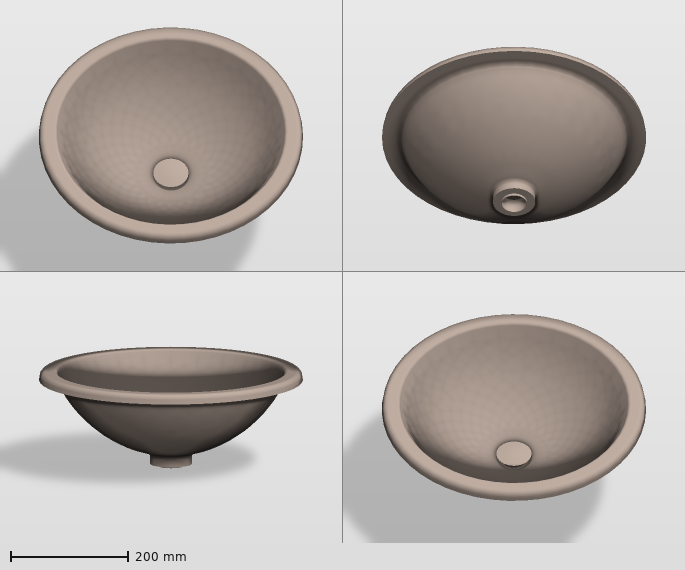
import cadquery as cq
import math

rim_radius = 225.0
rim_depth = 15.8
rim_side_top_radius = 223.5
rim_round_depth = 7.5
rim_flat_outer_radius = 214.0
rim_flat_inner_radius = 199.5

bowl_centre_r = -13.5
bowl_centre_z = 83.0
bowl_outer_arc = 231.0
neck_top_radius = 200.5
neck_depth = 23.5
mouth_radius = 194.0
mouth_depth = 3.5
wall_at_middle = 11.5
wall_at_drain = 15.5

collar_radius = 72.0 / 2
collar_flare_radius = 42.0
collar_straight_z = -147.0
collar_bottom_z = -161.0

flange_radius = 66.0 / 2
flange_lip_width = 1.5
flange_dish_radius = 52.0 / 2
flange_dish_depth = 4.5
flange_thickness = 6.8
tube_radius = 44.0 / 2
tube_bore_radius = 42.0 / 2
tube_bottom_z = -165.0

cap_radius = 60.0 / 2
cap_lift = 8.0
dome_height = 4.0
cap_underside_depth = 2.2
stem_length = 18.0


def bowl_outer_z(radius):
    """Height of the bowl's outside at a distance from the axis."""
    return bowl_centre_z - math.sqrt(bowl_outer_arc**2 - (radius - bowl_centre_r) ** 2)


def bowl_outer_r(z):
    """Distance from the axis of the bowl's outside at a height."""
    return bowl_centre_r + math.sqrt(bowl_outer_arc**2 - (z - bowl_centre_z) ** 2)


def inward(r, z, distance):
    """Point moved from the bowl's outside toward the arc's centre."""
    scale = 1 - distance / bowl_outer_arc
    return (bowl_centre_r + (r - bowl_centre_r) * scale, bowl_centre_z + (z - bowl_centre_z) * scale)


middle_radius = 126.0
middle_outer = (middle_radius, bowl_outer_z(middle_radius))
middle_inner = inward(*middle_outer, wall_at_middle)
flange_top_z = bowl_outer_z(flange_radius) + wall_at_drain
flange_bottom_z = flange_top_z - flange_thickness


def revolve(profile):
    """Solid of revolution about Z from a closed (radius, height) profile."""
    return profile.close().revolve(360, (0, 0, 0), (0, 1, 0))


def make_basin():
    neck_r = bowl_outer_r(-neck_depth)
    profile = (
        cq.Workplane("XZ")
        .moveTo(rim_flat_inner_radius, 0)
        .lineTo(rim_flat_outer_radius, 0)
        .tangentArcPoint((rim_side_top_radius, -rim_round_depth), relative=False)
        .lineTo(rim_radius, -rim_depth)
        .lineTo(neck_top_radius, -rim_depth)
        .tangentArcPoint((neck_r, -neck_depth), relative=False)
        .threePointArc(middle_outer, (collar_flare_radius, bowl_outer_z(collar_flare_radius)))
        .tangentArcPoint((collar_radius, collar_straight_z), relative=False)
        .lineTo(collar_radius, collar_bottom_z)
        .lineTo(tube_radius, collar_bottom_z)
        .lineTo(tube_radius, flange_bottom_z)
        .lineTo(flange_radius, flange_bottom_z)
        .lineTo(flange_radius, flange_top_z)
        .threePointArc(middle_inner, (mouth_radius, -mouth_depth))
        .tangentArcPoint((rim_flat_inner_radius, 0), relative=False)
    )
    return revolve(profile)


def make_drain():
    profile = (
        cq.Workplane("XZ")
        .moveTo(tube_bore_radius, flange_top_z - flange_dish_depth)
        .lineTo(flange_dish_radius, flange_top_z - flange_dish_depth)
        .lineTo(flange_radius - flange_lip_width, flange_top_z)
        .lineTo(flange_radius, flange_top_z)
        .lineTo(flange_radius, flange_bottom_z)
        .lineTo(tube_radius, flange_bottom_z)
        .lineTo(tube_radius, tube_bottom_z)
        .lineTo(tube_bore_radius, tube_bottom_z)
    )
    return revolve(profile)


def make_stopper():
    edge_z = flange_top_z + cap_lift
    apex_z = edge_z + dome_height
    dome_arc = (cap_radius**2 + dome_height**2) / (2 * dome_height)
    half_radius = cap_radius / 2
    half_z = apex_z - dome_arc + math.sqrt(dome_arc**2 - half_radius**2)
    profile = (
        cq.Workplane("XZ")
        .moveTo(0, edge_z - stem_length)
        .lineTo(tube_bore_radius, edge_z - stem_length)
        .lineTo(tube_bore_radius, edge_z - cap_underside_depth)
        .lineTo(cap_radius, edge_z)
        .threePointArc((half_radius, half_z), (0, apex_z))
    )
    return revolve(profile)


basin = make_basin()
drain = make_drain()
stopper = make_stopper()

result = cq.Compound.makeCompound([basin.val(), drain.val(), stopper.val()])